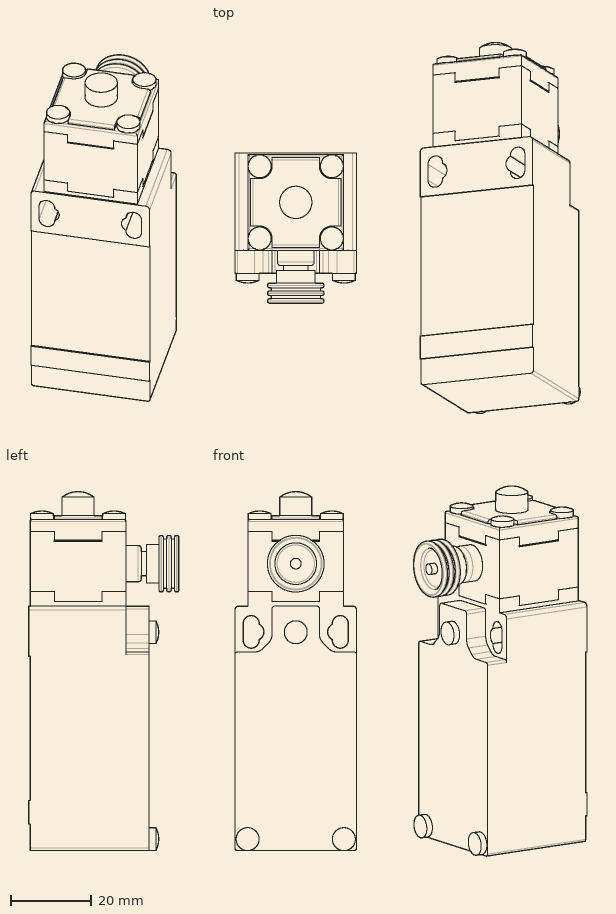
import cadquery as cq
import math


head_width = 23.9
head_half = head_width / 2
tab_width = 11.8
tab_half = tab_width / 2

total_height = 89.4
housing_top = 60.9
block_tab_bottom = 61.95
neck_top = 64.5
cap_tab_bottom = 77.2
cap_bottom = 79.5
cap_seat_top = 82.4
cap_top = 83.4
cap_tab_gap = 0.3

clearance = 0.9

housing_width = 30.3
housing_half = housing_width / 2
housing_front = -17.7
top_corner_radius = 1.0
bottom_corner_radius = 0.6

shoulder_top = 49.4
shoulder_ramp = 3.1
shoulder_fillet = 2.95
shoulder_edge_radius = 0.6
tongue_corner_radius = 0.7

slot_x = 11.1
slot_height = 54.4
slot_length = 8.05
slot_width = 3.9
bulge_x = 10.1
bulge_radius = 2.15

pad_thickness = 0.4
upper_pad_bottom = 48.4
lower_pad_bottom = 6.6
lower_pad_top = 12.5

screw_radius = 2.9
screw_dome = 0.7
cap_screw_rim = 1.4
cover_screw_rim = 1.7
cap_screw_spacing = 18.0
cover_screw_spacing = 24.0
lower_screw_height = screw_radius
upper_screw_height = 54.35

cap_edge_radius = 0.45
seat_corner_radius = cap_screw_spacing / 2 - tab_half
plate_inset = 0.7
plate_edge_radius = 0.6

plunger_radius = 4.0
plunger_dome = 1.4

knob_height = 71.4
bushing_radius = 4.6
bushing_length = 3.8
bushing_fillet = 0.9

knob_end = -25.1
neck_radius = 3.0
collar_start = -17.0
collar_radius = 4.8
rim_start = -20.1
rim_radius = 7.1
groove_radius = 6.2
rib_count = 3
rib_width = 1.2
rib_fillet = 0.5
dish_radius = 5.2
dish_depth = 1.8
dish_lip_radius = 1.2
dish_floor_radius = 0.5
stud_radius = 1.3
stud_height = 1.7


def box(x_min, x_max, y_min, y_max, z_min, z_max):
    """Axis-aligned block between the given limits."""
    size = (x_max - x_min, y_max - y_min, z_max - z_min)
    return cq.Workplane("XY").box(*size, centered=False).translate((x_min, y_min, z_min))


def domed_pin(radius, rim, dome):
    """Cylinder on Z = 0 pointing up, closed by a shallow spherical dome."""
    sphere_radius = (radius**2 + dome**2) / (2 * dome)
    half_angle = math.asin(radius / sphere_radius) / 2
    mid_x = sphere_radius * math.sin(half_angle)
    mid_z = rim + dome - sphere_radius * (1 - math.cos(half_angle))
    profile = (
        cq.Workplane("XZ")
        .lineTo(radius, 0)
        .lineTo(radius, rim)
        .threePointArc((mid_x, mid_z), (0, rim + dome))
        .close()
    )
    return profile.revolve(360, (0, 0, 0), (0, 1, 0))


def key_cross(z_min, z_max):
    """Two crossing bars that show as one tab in the middle of each head side."""
    along_x = box(-head_half, head_half, -tab_half, tab_half, z_min, z_max)
    along_y = box(-tab_half, tab_half, -head_half, head_half, z_min, z_max)
    return along_x.union(along_y)


def housing_outline(y_start, y_end):
    """Full-width prism with rounded top and bottom corners."""
    prism = box(-housing_half, housing_half, y_end, y_start, 0, housing_top)
    prism = prism.edges("|Y and >Z").fillet(top_corner_radius)
    return prism.edges("|Y and <Z").fillet(bottom_corner_radius)


def shoulder_cut(side):
    """Corner of the front cover removed beside the tongue; side is -1 or 1."""
    outer_x = side * (housing_half + clearance)
    tongue_x = side * tab_half
    ramp_x = side * (tab_half + shoulder_ramp)
    ramp_top = shoulder_top + shoulder_ramp
    cut = (
        cq.Workplane("XZ", origin=(0, -head_half, 0))
        .moveTo(tongue_x, housing_top)
        .lineTo(tongue_x, ramp_top)
        .lineTo(ramp_x, shoulder_top)
        .lineTo(outer_x, shoulder_top)
        .lineTo(outer_x, housing_top)
        .close()
        .extrude(-head_half - housing_front)
    )
    ramp_edges = cq.selectors.BoxSelector(
        (tongue_x - side * clearance, housing_front, shoulder_top - clearance),
        (ramp_x + side * clearance, -head_half, ramp_top + clearance),
    )
    return cut.edges("|Y").edges(ramp_edges).fillet(shoulder_fillet)


def make_cover():
    """Front part of the housing: tongue in the middle, cut shoulders at both sides."""
    cover = box(-housing_half, housing_half, housing_front, -head_half, 0, housing_top)
    for side in (-1, 1):
        cover = cover.cut(shoulder_cut(side))
    cover = cover.edges("|Y and >Z").fillet(tongue_corner_radius)
    outer_edges = cover.edges("|Y").edges("<X or >X")
    return outer_edges.fillet(shoulder_edge_radius)


def mounting_slot(side):
    """Through slot in the back part of the housing; side is -1 or 1."""
    obround_plane = cq.Workplane("XZ", origin=(side * slot_x, head_half + clearance, slot_height))
    bulge_plane = cq.Workplane("XZ", origin=(side * bulge_x, head_half + clearance, slot_height))
    depth = head_width + clearance
    obround = obround_plane.slot2D(slot_length, slot_width, 90).extrude(depth)
    return obround.union(bulge_plane.circle(bulge_radius).extrude(depth))


def back_pad(z_min, z_max):
    """Thin raised pad across the back of the housing."""
    back = head_half + pad_thickness
    limits = box(-housing_half, housing_half, head_half, back, z_min, z_max)
    return housing_outline(back, head_half).intersect(limits)


def cover_screw(x, z):
    """Screw head standing on the front of the housing."""
    screw = domed_pin(screw_radius, cover_screw_rim, screw_dome)
    return screw.rotate((0, 0, 0), (1, 0, 0), 90).translate((x, housing_front, z))


def make_housing():
    """Body with cover, mounting slots, neck under the head, back pads and cover screws."""
    housing = housing_outline(head_half, -head_half).union(make_cover())
    neck = box(-head_half, head_half, -head_half, head_half, housing_top, neck_top)
    housing = housing.union(neck.cut(key_cross(block_tab_bottom, neck_top)))
    housing = housing.union(back_pad(upper_pad_bottom, housing_top))
    housing = housing.union(back_pad(lower_pad_bottom, lower_pad_top))
    for side in (-1, 1):
        housing = housing.cut(mounting_slot(side))
        housing = housing.union(cover_screw(side * cover_screw_spacing / 2, lower_screw_height))
    return housing.union(cover_screw(0, upper_screw_height))


def make_head_block():
    """Middle of the head, keyed into the neck and the cap, with the knob bushing."""
    block = box(-head_half, head_half, -head_half, head_half, neck_top, cap_bottom)
    block = block.union(key_cross(block_tab_bottom, neck_top))
    block = block.cut(key_cross(cap_tab_bottom - cap_tab_gap, cap_bottom))
    bushing = (
        cq.Workplane("XZ", origin=(0, -head_half, knob_height))
        .circle(bushing_radius)
        .extrude(bushing_length)
        .edges("<Y")
        .fillet(bushing_fillet)
    )
    return block.union(bushing)


def make_cap():
    """Head cap with corner seats, raised plate, four screws and the plunger."""
    cap = box(-head_half, head_half, -head_half, head_half, cap_bottom, cap_seat_top)
    cap = cap.edges(">Z").fillet(cap_edge_radius)
    cap = cap.union(key_cross(cap_tab_bottom, cap_bottom))

    plate_half = head_half - plate_inset
    plate = box(-plate_half, plate_half, -plate_half, plate_half, cap_seat_top, cap_top)
    plate = plate.edges(">Z").fillet(plate_edge_radius)
    raised_area = key_cross(cap_seat_top, cap_top)
    corner_reach = tab_half + clearance
    inner_corners = cq.selectors.BoxSelector(
        (-corner_reach, -corner_reach, cap_seat_top),
        (corner_reach, corner_reach, cap_top),
    )
    raised_area = raised_area.edges("|Z").edges(inner_corners).fillet(seat_corner_radius)
    cap = cap.union(plate.intersect(raised_area))

    seats = cq.Workplane("XY", origin=(0, 0, cap_seat_top)).rarray(cap_screw_spacing, cap_screw_spacing, 2, 2)
    screw = domed_pin(screw_radius, cap_screw_rim, screw_dome).val()
    cap = cap.union(seats.eachpoint(lambda place: screw.moved(place)))

    plunger_rim = total_height - cap_top - plunger_dome
    plunger = domed_pin(plunger_radius, plunger_rim, plunger_dome).translate((0, 0, cap_top))
    return cap.union(plunger)


def knob_cylinder(radius, y_start, y_end):
    """Cylinder on the knob axis between two Y positions."""
    plane = cq.Workplane("XZ", origin=(0, y_start, knob_height))
    return plane.circle(radius).extrude(y_start - y_end)


def make_knob():
    """Turned knob with rounded ribs around its rim and a dished face with a stud."""
    bushing_end = -head_half - bushing_length
    knob = knob_cylinder(neck_radius, bushing_end, collar_start)
    knob = knob.union(knob_cylinder(collar_radius, collar_start, rim_start))
    knob = knob.union(knob_cylinder(groove_radius, rim_start, knob_end))

    rib_pitch = (rim_start - knob_end - rib_width) / (rib_count - 1)
    for index in range(rib_count):
        rib_start = rim_start - index * rib_pitch
        rib = knob_cylinder(rim_radius, rib_start, rib_start - rib_width)
        knob = knob.union(rib.edges().fillet(rib_fillet))

    dish_floor = knob_end + dish_depth
    dish = knob_cylinder(dish_radius, dish_floor, knob_end).edges(">Y").fillet(dish_floor_radius)
    knob = knob.cut(dish)
    dish_edge = cq.selectors.RadiusNthSelector(0)
    knob = knob.faces("<Y").edges(dish_edge).fillet(dish_lip_radius)
    return knob.union(knob_cylinder(stud_radius, dish_floor, dish_floor - stud_height))


housing = make_housing()
head_block = make_head_block()
cap = make_cap()
knob = make_knob()

result = cq.Compound.makeCompound([housing.val(), head_block.val(), cap.val(), knob.val()])